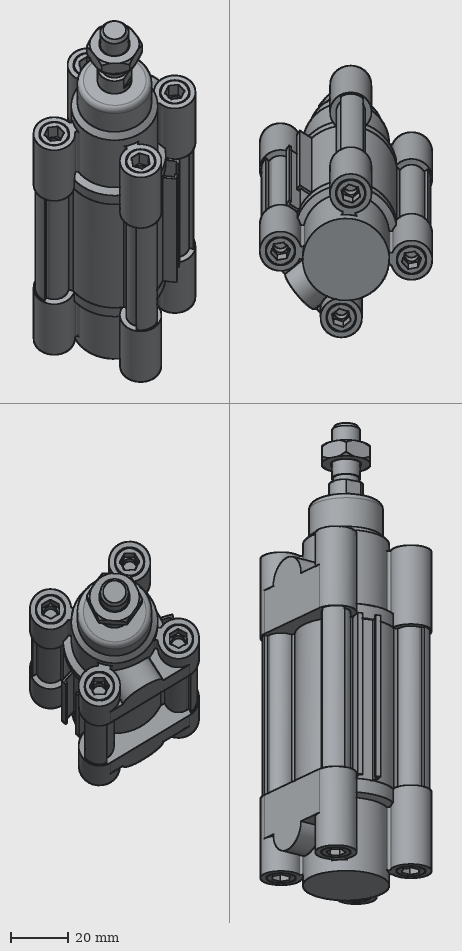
import cadquery as cq
import math

overall_length = 171.0
overall_width = 47.0

rear_post_bottom = 4.1
barrel_bottom = 33.5
barrel_top = 93.5
nose_top = 142.0
post_length = barrel_bottom - rear_post_bottom

post_radius = 14.5 / 2
post_offset = overall_width / 2 - post_radius
collar_radius = 30.3 / 2
flange_radius = 18.0
flange_height = 5.1
flange_cone_height = 1.0
web_fillet = 0.7
front_collar_top = 127.0
nose_radius = 26.0 / 2
nose_edge_fillet = 2.0
nose_cone_height = 2.0

screw_head_diameter = 10.0
head_groove_diameter = 10.5
head_groove_depth = 0.9
socket_across_flats = 6.0
socket_depth = 6.0
screw_bore_diameter = 5.0
screw_bore_depth = 10.3

port_plate_start = 10.3
port_center_x = 2.7
port_radius = 8.2
port_center_height = 16.2

barrel_flat_offset = 15.2
column_radius = 5.1
lug_radius = 6.7
lug_start = 1.0

rail_angle = 15.0
rail_floor = 17.1
rail_root = rail_floor - 1.7
rail_tip = 22.4
rail_outer_half = 4.3
rail_inner_half = 3.5
hook_half_gap = 2.4
hook_start = 21.5

rod_radius = 12.0 / 2
wrench_flat_width = 10.5
wrench_flat_bottom = 144.0
wrench_flat_rotation = -6.0
rod_shoulder = 149.3
relief_diameter = 9.0
thread_bottom = 151.7
thread_radius = 10.0 / 2
tip_diameter = 8.0
tip_chamfer_height = 1.4

nut_bottom = 157.0
nut_thickness = 6.0
nut_across_flats = 17.0
nut_face_diameter = 17.3
nut_edge_height = 1.2
nut_rotation = 24.0
nut_countersink = 0.43


def cylinder(radius, bottom, top, x=0.0, y=0.0):
    return cq.Workplane("XY", origin=(x, y, bottom)).circle(radius).extrude(top - bottom)


def box(x_range, y_range, z_range):
    """Box between two X, two Y and two Z limits."""
    (x0, x1), (y0, y1), (z0, z1) = x_range, y_range, z_range
    corner = cq.Workplane("XY", origin=(x0, y0, z0))
    return corner.box(x1 - x0, y1 - y0, z1 - z0, centered=False)


def hexagon(across_flats, height):
    """Hexagonal prism on Z = 0 with two corners on the X axis."""
    across_corners = across_flats / math.cos(math.radians(30))
    return cq.Workplane("XY").polygon(6, across_corners).extrude(height)



def post(quarter):
    """One corner post with the web that blends it into the collar by two concave fillets."""
    post_distance = post_offset * math.sqrt(2)
    from_collar = collar_radius + web_fillet
    from_post = post_radius + web_fillet
    fillet_x = (from_collar**2 - from_post**2 + post_distance**2) / (2 * post_distance)
    fillet_y = math.sqrt(from_collar**2 - fillet_x**2)
    web_corners = [(0, 0), (fillet_x, -fillet_y), (post_distance, 0), (fillet_x, fillet_y)]
    web = cq.Workplane("XY").polyline(web_corners).close().extrude(post_length)
    for side in (-1, 1):
        web = web.cut(cylinder(web_fillet, 0, post_length, fillet_x, side * fillet_y))
    body = web.union(cylinder(post_radius, 0, post_length, post_distance))
    return body.rotate((0, 0, 0), (0, 0, 1), 45 + 90 * quarter)


def screw_socket(quarter):
    """Ring groove, hexagon socket and bore cut into the end of one post."""
    groove = cylinder(head_groove_diameter / 2, -head_groove_depth, 0)
    groove = groove.cut(cylinder(screw_head_diameter / 2, -head_groove_depth, 0))
    hexagon_socket = hexagon(socket_across_flats, socket_depth).translate((0, 0, -socket_depth))
    bore = cylinder(screw_bore_diameter / 2, -screw_bore_depth, 0)
    tool = groove.union(hexagon_socket.union(bore))
    tool = tool.rotate((0, 0, 0), (0, 0, 1), 90)
    tool = tool.translate((post_offset, post_offset, post_length))
    return tool.rotate((0, 0, 0), (0, 0, 1), 90 * quarter)


def port_block():
    """Plate between the two +Y posts with the rounded port boss on top."""
    y_range = (port_plate_start, overall_width / 2)
    plate = box((-post_offset, post_offset), y_range, (0, port_center_height))
    boss = cq.Workplane("XZ", origin=(port_center_x, y_range[1], port_center_height))
    boss = boss.circle(port_radius).extrude(y_range[1] - y_range[0])
    return plate.union(boss)


def cover(collar_height):
    """Flange, collar, four posts and port, shared by the front and rear covers."""
    cone_top = flange_height + flange_cone_height
    core_profile = [
        (0, 0),
        (flange_radius, 0),
        (flange_radius, flange_height),
        (collar_radius, cone_top),
        (collar_radius, collar_height),
        (0, collar_height),
    ]
    core = cq.Workplane("XZ").polyline(core_profile).close().revolve(360, (0, 0), (0, 1))
    body = core.union(port_block())
    for quarter in range(4):
        body = body.union(post(quarter))
    for quarter in range(4):
        body = body.cut(screw_socket(quarter))
    return body


def make_front_cover():
    body = cover(front_collar_top - barrel_top).translate((0, 0, barrel_top))
    nose_profile = [
        (0, front_collar_top),
        (collar_radius, front_collar_top),
        (nose_radius, front_collar_top + nose_cone_height),
        (nose_radius, nose_top),
        (0, nose_top),
    ]
    nose = cq.Workplane("XZ").polyline(nose_profile).close().revolve(360, (0, 0), (0, 1))
    nose = nose.faces(">Z").edges().fillet(nose_edge_fillet)
    return body.union(nose).cut(cylinder(rod_radius, barrel_top, nose_top))


def make_rear_cover():
    return cover(barrel_bottom).mirror("XY").translate((0, 0, barrel_bottom))



def barrel_column(quarter):
    """Corner column with an outer lug that is set off by a small step on each side."""
    z_range = (barrel_bottom, barrel_top)
    center = post_offset
    step_end = center + lug_start
    reach = center + lug_radius
    column = cylinder(column_radius, *z_range, center, center)
    shoulder_span = (center, step_end)
    shoulder_reach = (center, center + column_radius)
    lug = cylinder(lug_radius, *z_range, center, center)
    lug = lug.intersect(box((step_end, reach), (step_end, reach), z_range))
    column = column.union(box(shoulder_span, shoulder_reach, z_range))
    column = column.union(box(shoulder_reach, shoulder_span, z_range))
    return column.union(lug).rotate((0, 0, 0), (0, 0, 1), 90 * quarter)


def sensor_slot_cut():
    """Space above the flat slot floor, between the two rails, on the +X axis."""
    width = (-rail_inner_half, rail_inner_half)
    return box((rail_floor, rail_tip), width, (barrel_bottom, barrel_top))


def hooked_rail(side):
    """One rail ending in a hook that points into the slot, on the +X axis."""
    outline = [
        (rail_root, side * rail_inner_half),
        (hook_start, side * rail_inner_half),
        (hook_start, side * hook_half_gap),
        (rail_tip, side * hook_half_gap),
        (rail_tip, side * rail_outer_half),
        (rail_root, side * rail_outer_half),
    ]
    start = cq.Workplane("XY", origin=(0, 0, barrel_bottom))
    return start.polyline(outline).close().extrude(barrel_top - barrel_bottom)


def make_barrel():
    z_range = (barrel_bottom, barrel_top)
    flats = (-barrel_flat_offset, barrel_flat_offset)
    body = cylinder(flange_radius, *z_range).union(box(flats, flats, z_range))
    for quarter in range(4):
        body = body.union(barrel_column(quarter))
    for angle in (rail_angle, 180 - rail_angle):
        body = body.cut(sensor_slot_cut().rotate((0, 0, 0), (0, 0, 1), angle))
        for side in (-1, 1):
            body = body.union(hooked_rail(side).rotate((0, 0, 0), (0, 0, 1), angle))
    return body



def make_piston_rod():
    shaft = cylinder(rod_radius, barrel_top, rod_shoulder)
    flat_zone = (wrench_flat_bottom, rod_shoulder)
    for angle in (0, 180):
        flat = box((wrench_flat_width / 2, rod_radius), (-rod_radius, rod_radius), flat_zone)
        shaft = shaft.cut(flat.rotate((0, 0, 0), (0, 0, 1), angle + wrench_flat_rotation))
    relief = cylinder(relief_diameter / 2, rod_shoulder, thread_bottom)
    thread = cylinder(thread_radius, thread_bottom, overall_length)
    tip_inset = thread_radius - tip_diameter / 2
    thread = thread.faces(">Z").edges().chamfer(tip_chamfer_height, tip_inset)
    return shaft.union(relief).union(thread)



def make_lock_nut():
    nut = hexagon(nut_across_flats, nut_thickness)
    across_corners = nut_across_flats / math.cos(math.radians(30))
    edge_run = (across_corners - nut_face_diameter) / 2
    envelope = cylinder(across_corners / 2, 0, nut_thickness)
    envelope = envelope.faces("<Z or >Z").edges().chamfer(nut_edge_height, edge_run)
    bore = cylinder(thread_radius, 0, nut_thickness)
    for face_height, taper_direction in ((0, 1), (nut_thickness, -1)):
        mouth = cq.Solid.makeCone(
            thread_radius + nut_countersink,
            thread_radius,
            nut_countersink,
            pnt=cq.Vector(0, 0, face_height),
            dir=cq.Vector(0, 0, taper_direction),
        )
        bore = bore.union(cq.Workplane(mouth))
    nut = nut.intersect(envelope).cut(bore)
    return nut.rotate((0, 0, 0), (0, 0, 1), nut_rotation).translate((0, 0, nut_bottom))


front_cover = make_front_cover()
rear_cover = make_rear_cover()
barrel = make_barrel()
piston_rod = make_piston_rod()
lock_nut = make_lock_nut()

result = cq.Compound.makeCompound(
    [front_cover.val(), rear_cover.val(), barrel.val(), piston_rod.val(), lock_nut.val()]
)